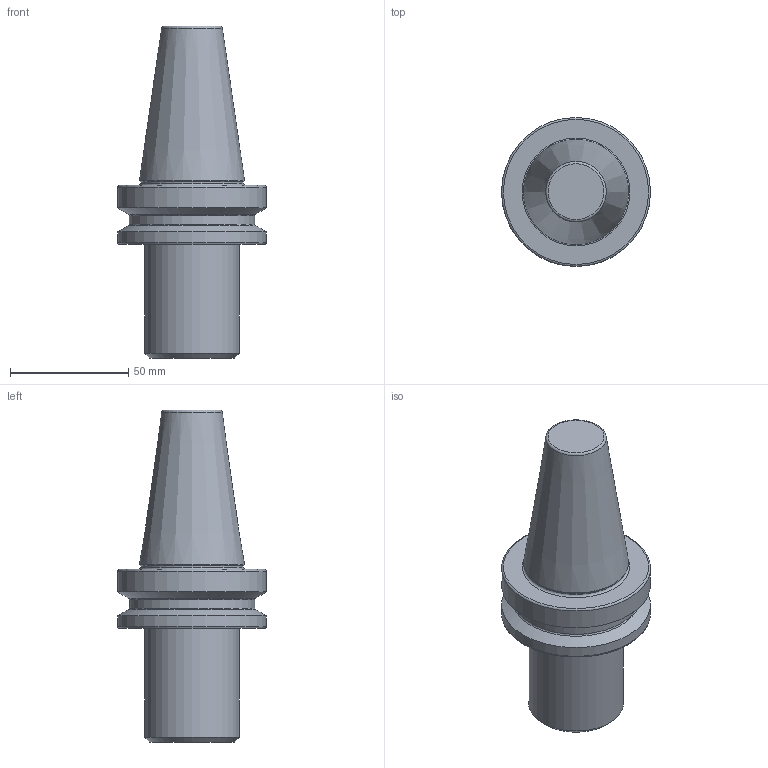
import cadquery as cq
import math


gauge_radius = 44.45 / 2
taper_length = 65.4
taper_ratio = 7 / 24
tip_round = 1.0

neck_radius = 21.75
neck_round = 1.0

flange_radius = 63.0 / 2
flange_top_z = -2.0
flange_bottom_z = -27.0
rim_round = 0.8
groove_floor_radius = 53.0 / 2
groove_center_z = -16.6
groove_floor_width = 4.4
groove_wall_angle = math.radians(30)
groove_round = 0.8

nose_radius = 40.0 / 2
nose_end_z = -75.0
nose_chamfer_height = 2.0
nose_chamfer_width = 2.0

tip_radius = gauge_radius - taper_length * taper_ratio / 2
neck_top_z = neck_radius - gauge_radius
groove_floor_top_z = groove_center_z + groove_floor_width / 2
groove_floor_bottom_z = groove_center_z - groove_floor_width / 2
groove_wall_rise = (flange_radius - groove_floor_radius) * math.tan(groove_wall_angle)

pick_margin = 0.05


def half_profile():
    """Closed half section in the XZ plane, traced from the nose end to the taper tip."""
    return (
        cq.Workplane("XZ")
        .moveTo(0, nose_end_z)
        .lineTo(nose_radius - nose_chamfer_width, nose_end_z)
        .lineTo(nose_radius, nose_end_z + nose_chamfer_height)
        .lineTo(nose_radius, flange_bottom_z)
        .lineTo(flange_radius, flange_bottom_z)
        .lineTo(flange_radius, groove_floor_bottom_z - groove_wall_rise)
        .lineTo(groove_floor_radius, groove_floor_bottom_z)
        .lineTo(groove_floor_radius, groove_floor_top_z)
        .lineTo(flange_radius, groove_floor_top_z + groove_wall_rise)
        .lineTo(flange_radius, flange_top_z)
        .lineTo(neck_radius, flange_top_z)
        .lineTo(neck_radius, neck_top_z)
        .lineTo(gauge_radius, 0)
        .lineTo(tip_radius, taper_length)
        .lineTo(0, taper_length)
        .close()
    )


def round_circle(body, radius, z, round_radius):
    """Fillet the circular edge of the given radius at height z."""
    outer = radius + pick_margin
    low_corner = (-outer, -outer, z - pick_margin)
    high_corner = (outer, outer, z + pick_margin)
    ring = cq.selectors.BoxSelector(low_corner, high_corner, boundingbox=True)
    edges = body.edges(ring).edges(cq.selectors.RadiusNthSelector(-1))
    return edges.fillet(round_radius)


result = half_profile().revolve(360, (0, 0, 0), (0, 1, 0))
result = round_circle(result, tip_radius, taper_length, tip_round)
result = round_circle(result, neck_radius, flange_top_z, neck_round)
for rim_z in (flange_top_z, flange_bottom_z):
    result = round_circle(result, flange_radius, rim_z, rim_round)
for corner_z in (groove_floor_top_z, groove_floor_bottom_z):
    result = round_circle(result, groove_floor_radius, corner_z, groove_round)